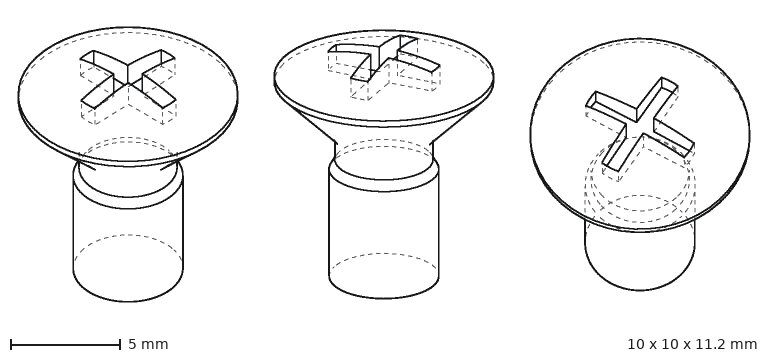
import cadquery as cq
import math

shank_radius = 2.5
shank_height = 5.35
neck_radius = 2.24
shoulder_angle = math.radians(30)

head_radius = 5.0
rim_bottom = 9.72
rim_top = 10.02
full_height = 11.18
head_angle = math.radians(45)
fillet_radius = 0.5

recess_radius = 2.65
recess_floor = 9.95
arm_root_half_width = 0.46
arm_tip_half_width = 0.44


def turned_body():
    """Shank, shoulder, neck, countersunk head and raised dome in one revolve."""
    neck_bottom = shank_height + (shank_radius - neck_radius) / math.tan(shoulder_angle)

    fillet_top_radius = neck_radius + fillet_radius * (1 - math.cos(head_angle))
    fillet_top = rim_bottom - (head_radius - fillet_top_radius) / math.tan(head_angle)
    fillet_bottom = fillet_top - fillet_radius * math.sin(head_angle)
    fillet_mid = (
        neck_radius + fillet_radius * (1 - math.cos(head_angle / 2)),
        fillet_bottom + fillet_radius * math.sin(head_angle / 2),
    )

    corner_radius = arm_root_half_width * math.sqrt(2)
    dome_center = (
        corner_radius**2 + full_height**2 - head_radius**2 - rim_top**2
    ) / (2 * (full_height - rim_top))
    dome_radius = math.hypot(head_radius, rim_top - dome_center)
    mid_angle = math.asin(head_radius / dome_radius) / 2
    dome_mid = (
        dome_radius * math.sin(mid_angle),
        dome_center + dome_radius * math.cos(mid_angle),
    )
    apex_height = dome_center + dome_radius

    return (
        cq.Workplane("XZ")
        .lineTo(shank_radius, 0)
        .lineTo(shank_radius, shank_height)
        .lineTo(neck_radius, neck_bottom)
        .lineTo(neck_radius, fillet_bottom)
        .threePointArc(fillet_mid, (fillet_top_radius, fillet_top))
        .lineTo(head_radius, rim_bottom)
        .lineTo(head_radius, rim_top)
        .threePointArc(dome_mid, (0, apex_height))
        .close()
        .revolve(360, (0, 0, 0), (0, 1, 0))
    )


def recess_arm(angle):
    """One arm of the cross recess, narrowing slightly towards its rounded tip."""
    tip_x = math.sqrt(recess_radius**2 - arm_tip_half_width**2)
    return (
        cq.Workplane("XY", origin=(0, 0, recess_floor))
        .lineTo(arm_root_half_width, arm_root_half_width)
        .lineTo(tip_x, arm_tip_half_width)
        .threePointArc((recess_radius, 0), (tip_x, -arm_tip_half_width))
        .lineTo(arm_root_half_width, -arm_root_half_width)
        .close()
        .extrude(head_radius)
        .rotate((0, 0, 0), (0, 0, 1), angle)
    )


result = turned_body()
for arm_angle in (0, 90, 180, 270):
    result = result.cut(recess_arm(arm_angle))